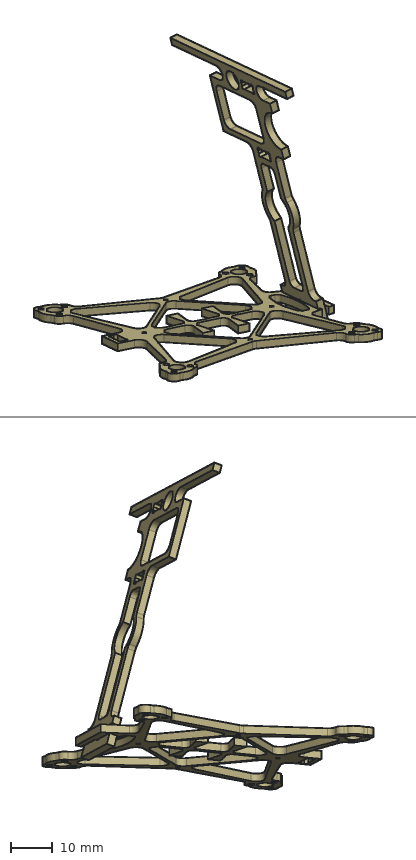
import cadquery as cq
import math

plate = 2.0
height = 66.3
strap_long = 4.9
strap_short = 2.2
small_fillet = 1.45
large_fillet = 2.0
relief_hole = 1.0

hub_offset = 26.5
hub_radius = 4.1
hub_bore = 4.0
screw_circle = 3.4
screw_hole = 1.4
lobe_radius = 1.7
node_offset = 18.3
node_hole = 1.0
strut_width = 1.0
spine_width = 1.5
arm_waist = 19.95
arm_tip = 27.25
triangle_near = 1.5
triangle_far = 25.5
tie_length = 7.95
tie_spacing = 10.15
tie_end_width = 3.3
tie_root_width = 0.7
tab_width = 6.9
tab_end = -28.25
tab_slot_y = -25.85
tail_end = 31.35
tail_end_width = 15.0
tail_root_width = 19.35
tail_root_y = 22.55
opening_y = 23.35
opening_length = 13.9
opening_end_width = 2.8
opening_width = 5.05
slit_front = 27.2
slit_back = 29.6

lean = math.radians(15)
foot_y = 27.9
foot_depth = 3.25
mast_length = (height - plate * math.sin(lean)) / math.cos(lean)
foot_width = 15.5
foot_height = 7.4
stem_width = 10.0
stem_slot_width = 5.85
stem_slot_bottom = 8.5
stem_slot_top = 42.5
ring_height = 30.35
ring_radius = 6.4
ring_bore = 9.95
head_left = -17.1
head_right = 9.1
head_bottom = 46.9
head_top = 62.2
camera_left = -15.6
camera_right = 1.65
camera_bottom = 48.45
camera_top = 60.4
side_notch_diameter = 9.95
bar_left = -31.95
bar_length = 50.0
bar_height = 2.0
bar_bottom = mast_length - bar_height
neck_left = -10.9
neck_right = 4.05
neck_hole = 5.0
neck_hole_x = -6.5
neck_hole_height = 64.0
strap_heights = (45.5, 64.05)

quadrants = [(1, 1), (-1, 1), (-1, -1), (1, -1)]


def rounded_prism(base, corners, depth):
    """Extruded polygon; each corner is (x, y, rounding radius)."""
    prism = base.polyline([(x, y) for x, y, radius in corners]).close().extrude(depth)
    for x, y, radius in corners:
        if radius > 0:
            middle = base.plane.toWorldCoords((x, y, depth / 2))
            nearest = cq.selectors.NearestToPointSelector(middle.toTuple())
            prism = prism.edges(nearest).fillet(radius)
    return prism


def rectangle(base, left, right, bottom, top, depth, radius=0):
    corners = [(left, bottom, radius), (right, bottom, radius), (right, top, radius), (left, top, radius)]
    return rounded_prism(base, corners, depth)


def relief(base, x, y, inward_x, inward_y, depth):
    """Round relief that passes through the corner (x, y), centred diagonally inside it."""
    inset = relief_hole / 2 / math.sqrt(2)
    return base.center(x + inward_x * inset, y + inward_y * inset).circle(relief_hole / 2).extrude(depth)


def strap_slot(base, y, depth):
    """Slot across x = 0 with a relief in each corner."""
    end_x = strap_long / 2
    half = strap_short / 2
    slot = rectangle(base, -end_x, end_x, y - half, y + half, depth)
    for sx, sy in quadrants:
        slot = slot.union(relief(base, sx * end_x, y + sy * half, -sx, -sy, depth))
    return slot


floor = cq.Workplane("XY")


def screw_positions(sx, sy):
    outward = math.degrees(math.atan2(sy, sx))
    for step in range(3):
        angle = math.radians(outward + 120 * step)
        yield (
            sx * hub_offset + screw_circle * math.cos(angle),
            sy * hub_offset + screw_circle * math.sin(angle),
        )


def frame_blank():
    """Four arms, hubs, tab and tail, with all inward corners of the outline rounded."""
    star = []
    for sx, sy in quadrants:
        long_first = [(sx * arm_tip, sy * hub_offset), (sx * hub_offset, sy * arm_tip)]
        if sx * sy > 0:
            star += [(sx * arm_waist, 0)] + long_first
        else:
            star += [(0, sy * arm_waist)] + long_first[::-1]
    blank = floor.polyline(star).close().extrude(plate)
    hubs = [(sx * hub_offset, sy * hub_offset) for sx, sy in quadrants]
    lobes = [point for sx, sy in quadrants for point in screw_positions(sx, sy)]
    blank = blank.union(floor.pushPoints(hubs).circle(hub_radius).extrude(plate))
    blank = blank.union(floor.pushPoints(lobes).circle(lobe_radius).extrude(plate))
    blank = blank.union(rectangle(floor, -tab_width / 2, tab_width / 2, tab_end, 0, plate))
    tail = [
        (-tail_root_width / 2, tail_root_y),
        (-tail_end_width / 2, tail_end),
        (tail_end_width / 2, tail_end),
        (tail_root_width / 2, tail_root_y),
        (0, 0),
    ]
    blank = blank.union(floor.polyline(tail).close().extrude(plate))
    outline = blank.faces("<Z").val().outerWire()
    rounded = outline.offset2D(large_fillet)[0].offset2D(-large_fillet)[0]
    return cq.Workplane(cq.Solid.extrudeLinear(rounded, [], cq.Vector(0, 0, plate)))


def triangle_window(sx, sy):
    """Opening between two arms of a corner and the strut that braces them."""
    strut_side = node_offset + strut_width / math.sqrt(2) - triangle_near
    corners = [
        (sx * strut_side, sy * triangle_near, large_fillet),
        (sx * triangle_far, sy * triangle_far, large_fillet),
        (sx * triangle_near, sy * strut_side, large_fillet),
    ]
    return rounded_prism(floor, corners, plate)


def centre_window(side):
    """Half of the square inside the struts, beside the spine, around its bow-tie crossbars."""
    tip = node_offset - strut_width / math.sqrt(2)
    inner = spine_width / 2
    corners = [(side * tip, 0, large_fillet), (side * inner, tip - inner, large_fillet)]
    for tie_y in (tie_spacing / 2, -tie_spacing / 2):
        corners += [
            (side * inner, tie_y + tie_root_width / 2, small_fillet),
            (side * tie_length, tie_y + tie_end_width / 2, 0),
            (side * tie_length, tie_y - tie_end_width / 2, 0),
            (side * inner, tie_y - tie_root_width / 2, small_fillet),
        ]
    corners.append((side * inner, inner - tip, large_fillet))
    return rounded_prism(floor, corners, plate)


def tail_opening():
    """Opening with two bulged long sides and rounded ends."""
    end_x = opening_length / 2
    end_y = opening_end_width / 2
    bulge_y = opening_width / 2
    opening = (
        floor.center(0, opening_y)
        .moveTo(-end_x, -end_y)
        .threePointArc((0, -bulge_y), (end_x, -end_y))
        .lineTo(end_x, end_y)
        .threePointArc((0, bulge_y), (-end_x, end_y))
        .close()
        .extrude(plate)
    )
    return opening.edges("|Z").fillet(0.9 * end_y)


def tail_slit():
    """Slit from the middle of the tail to its +X side, with a relief in its inner back corner."""
    slit = rectangle(floor, 0, tail_root_width / 2, slit_front, slit_back, plate)
    return slit.union(relief(floor, 0, slit_back, 1, -1, plate))


def make_frame(mast):
    frame = frame_blank()
    for sx, sy in quadrants:
        frame = frame.cut(triangle_window(sx, sy))
        hub = floor.center(sx * hub_offset, sy * hub_offset)
        frame = frame.cut(hub.circle(hub_bore / 2).extrude(plate))
        screws = floor.pushPoints(list(screw_positions(sx, sy)))
        frame = frame.cut(screws.circle(screw_hole / 2).extrude(plate))
    for side in (1, -1):
        frame = frame.cut(centre_window(side))
    nodes = [(node_offset, 0), (0, node_offset), (-node_offset, 0), (0, -node_offset)]
    frame = frame.cut(floor.pushPoints(nodes).circle(node_hole / 2).extrude(plate))
    frame = frame.cut(strap_slot(floor, tab_slot_y, plate))
    frame = frame.cut(tail_opening())
    frame = frame.cut(tail_slit())
    return frame.cut(mast)


mast_front = cq.Workplane(
    cq.Plane(
        origin=(0, foot_y, -foot_depth),
        xDir=(1, 0, 0),
        normal=(0, -math.cos(lean), -math.sin(lean)),
    )
)
into_mast = -plate


def mast_disc(x, along, diameter):
    return mast_front.center(x, along).circle(diameter / 2).extrude(into_mast)


def mast_blank():
    """Foot, stem and head with rounded steps, plus the ring around the stem and the top bar."""
    foot = foot_width / 2
    stem = stem_width / 2
    body = [
        (-foot, 0, 0),
        (foot, 0, 0),
        (foot, foot_height, 0),
        (stem, foot_height, large_fillet),
        (stem, head_bottom, large_fillet),
        (head_right, head_bottom, 0),
        (head_right, bar_bottom, 0),
        (head_left, bar_bottom, 0),
        (head_left, head_bottom, 0),
        (-stem, head_bottom, large_fillet),
        (-stem, foot_height, large_fillet),
        (-foot, foot_height, 0),
    ]
    blank = rounded_prism(mast_front, body, into_mast)
    blank = blank.union(mast_disc(0, ring_height, 2 * ring_radius))
    ring_reach = math.sqrt(ring_radius**2 - stem**2)
    for sx, sy in quadrants:
        corner = (sx * stem, ring_height + sy * ring_reach, into_mast / 2)
        middle = mast_front.plane.toWorldCoords(corner)
        nearest = cq.selectors.NearestToPointSelector(middle.toTuple())
        blank = blank.edges(nearest).fillet(large_fillet)
    bar_right = bar_left + bar_length
    return blank.union(rectangle(mast_front, bar_left, bar_right, bar_bottom, mast_length, into_mast))


def neck_notch(neck_x, outer_x):
    """Round-ended notch between the head and the bar, open on one side."""
    notch_width = bar_bottom - head_top
    along = (bar_bottom + head_top) / 2
    inward = math.copysign(notch_width / 2, outer_x - neck_x)
    round_x = neck_x + inward
    left, right = sorted((round_x, outer_x))
    straight = rectangle(mast_front, left, right, head_top, bar_bottom, into_mast)
    return straight.union(mast_disc(round_x, along, notch_width))


def mast_slit():
    """Slit from the -X side to the middle of the foot, just high enough for the level frame."""
    bottom = (foot_depth - plate * math.sin(lean)) / math.cos(lean)
    top = (foot_depth + plate) / math.cos(lean)
    slit = rectangle(mast_front, -foot_width / 2, 0, bottom, top, into_mast)
    slit = slit.union(relief(mast_front, 0, bottom, -1, 1, into_mast))
    return slit.union(relief(mast_front, 0, top, -1, -1, into_mast))


def make_mast():
    mast = mast_blank()
    stem_slot = stem_slot_width / 2
    head_middle = (head_bottom + head_top) / 2
    openings = [
        rectangle(mast_front, -stem_slot, stem_slot, stem_slot_bottom, stem_slot_top, into_mast, small_fillet),
        mast_disc(0, ring_height, ring_bore),
        rectangle(mast_front, camera_left, camera_right, camera_bottom, camera_top, into_mast, large_fillet),
        mast_disc(head_right, head_middle, side_notch_diameter),
        neck_notch(neck_left, head_left),
        neck_notch(neck_right, head_right),
        mast_disc(neck_hole_x, neck_hole_height, neck_hole),
        mast_slit(),
    ]
    for along in strap_heights:
        openings.append(strap_slot(mast_front, along, into_mast))
    for opening in openings:
        mast = mast.cut(opening)
    return mast


mast = make_mast()
frame = make_frame(mast)
result = cq.Compound.makeCompound([frame.val(), mast.val()])